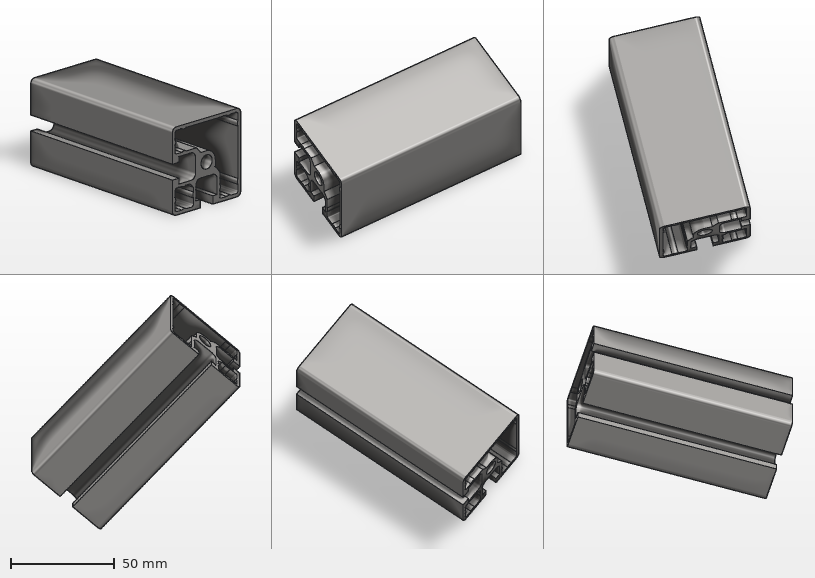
import cadquery as cq

length = 100.0
side = 45.0
corner_radius = 2.5
wall = 1.8

slot_opening = 8.1
slot_width = 14.0
lip_thickness = 4.3
slot_floor = 7.3
slot_radius = 3.0
slot_wall = 1.7

bore_diameter = 7.3
boss_radius = 5.7
boss_flat = 3.7

chamber_radius = 1.3
web_radius = 1.0
web_chamfer = 2.2

rib_offset = 14.8
rib_height = 0.4
rib_width = 3.0

half = side / 2
inner = half - wall
web = slot_width / 2 + slot_wall


def section():
    plane = cq.Plane(origin=(length / 2, 0, 0), xDir=(0, -1, 0), normal=(-1, 0, 0))
    return cq.Workplane(plane)


def box(u_min, u_max, v_min, v_max):
    return (
        section()
        .center((u_min + u_max) / 2, (v_min + v_max) / 2)
        .rect(u_max - u_min, v_max - v_min)
        .extrude(length)
    )


def mirrored(point):
    """Reflect a profile point across the diagonal that swaps the two slots."""
    u, v = point
    return -v, -u


def fillet_at(solid, point, radius):
    """Fillet the lengthwise edge passing through a profile point."""
    u, v = point
    return solid.edges(cq.selectors.NearestToPointSelector((0, -u, v))).fillet(radius)


def large_chamber():
    step = web - boss_radius
    upper_corner = (boss_flat + step, web)
    upper_step = (boss_flat, boss_radius)
    upper_end = (inner, web)
    upper_tangent = (0, boss_radius)
    arc_middle = (-boss_radius / 2**0.5, boss_radius / 2**0.5)
    chamber = (
        section()
        .moveTo(-inner, inner)
        .lineTo(inner, inner)
        .lineTo(*upper_end)
        .lineTo(*upper_corner)
        .lineTo(*upper_step)
        .lineTo(*upper_tangent)
        .threePointArc(arc_middle, mirrored(upper_tangent))
        .lineTo(*mirrored(upper_step))
        .lineTo(*mirrored(upper_corner))
        .lineTo(*mirrored(upper_end))
        .lineTo(-inner, -inner)
        .close()
        .extrude(length)
    )
    for corner in [(-inner, inner), (inner, inner), (-inner, -inner)]:
        chamber = fillet_at(chamber, corner, chamber_radius)
    for corner in [upper_end, mirrored(upper_end)]:
        chamber = fillet_at(chamber, corner, web_radius)
    return chamber


def small_chamber():
    chamber = box(web, inner, -inner, -web)
    core_corner = cq.selectors.NearestToPointSelector((0, -web, -web))
    chamber = chamber.edges(core_corner).chamfer(web_chamfer)
    for corner in [(inner, -inner), (inner, -web), (web, -inner)]:
        chamber = fillet_at(chamber, corner, chamber_radius)
    return chamber


def slot():
    """Slot opening on the -Z side."""
    bottom = lip_thickness - half
    cavity = box(-slot_width / 2, slot_width / 2, bottom, -slot_floor)
    for u in (-slot_width / 2, slot_width / 2):
        cavity = fillet_at(cavity, (u, -slot_floor), slot_radius)
    return cavity.union(box(-slot_opening / 2, slot_opening / 2, -half, bottom))


def rib(position, wall_face, direction):
    """Rounded rib on a horizontal wall face, rising towards direction (+1 up, -1 down)."""
    start = (position - rib_width / 2, wall_face)
    crest = (position, wall_face + direction * rib_height)
    end = (position + rib_width / 2, wall_face)
    return section().moveTo(*start).threePointArc(crest, end).close().extrude(length)


def swap_slots(solid):
    """Reflect a solid across the diagonal plane that swaps the two slots."""
    return solid.mirror("XY").rotate((0, 0, 0), (1, 0, 0), 90)


profile = box(-half, half, -half, half).edges("|X").fillet(corner_radius)
profile = profile.cut(large_chamber()).cut(small_chamber())
bottom_slot = slot()
profile = profile.cut(bottom_slot).cut(swap_slots(bottom_slot))
profile = profile.cut(section().circle(bore_diameter / 2).extrude(length))

horizontal_ribs = [
    rib(-rib_offset, inner, -1),
    rib(rib_offset, inner, -1),
    rib(-rib_offset, -inner, 1),
    rib(rib_offset, -inner, 1),
    rib(rib_offset, web, 1),
    rib(rib_offset, -web, -1),
]
for horizontal_rib in horizontal_ribs:
    profile = profile.union(horizontal_rib).union(swap_slots(horizontal_rib))

result = profile